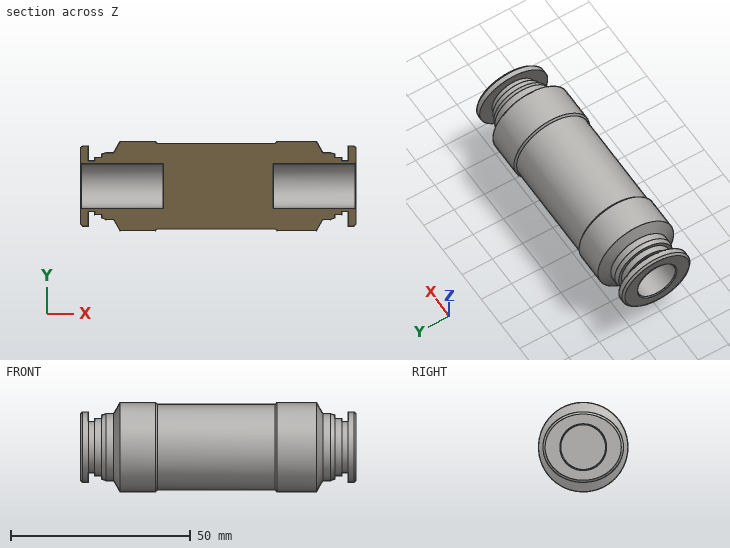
import cadquery as cq

length = 77.0

flange_thickness = 2.2
neck_end = 4.0
collar_end = 5.9
nose_chamfer_length = 1.3
nose_end = 9.3
shoulder_end = 11.1
cap_chamfer = 0.55
left_cap_end = 21.5
right_cap_end = 22.6

neck_radius = 7.15
collar_radius = 8.0
nose_tip_radius = 8.9
nose_radius = 9.4
cap_diameter = 25.0
cap_radius = cap_diameter / 2
barrel_radius = cap_radius - cap_chamfer

flange_half_width = 11.25
flange_half_height = 9.85
flange_chamfer = 0.6

socket_radius = 6.2
socket_depth = 23.1
socket_chamfer = 0.3


def end_profile(cap_end):
    """(distance from the end, radius) points from the neck to the barrel."""
    return [
        (flange_thickness, neck_radius),
        (neck_end, neck_radius),
        (neck_end, collar_radius),
        (collar_end, collar_radius),
        (collar_end, nose_tip_radius),
        (collar_end + nose_chamfer_length, nose_radius),
        (nose_end, nose_radius),
        (shoulder_end, cap_radius),
        (cap_end - cap_chamfer, cap_radius),
        (cap_end, barrel_radius),
    ]


def turned_body():
    """Revolve the stepped outline of both ends and the barrel about X."""
    half = length / 2
    left = [(d - half, r) for d, r in end_profile(left_cap_end)]
    right = [(half - d, r) for d, r in reversed(end_profile(right_cap_end))]
    axis_start = (flange_thickness - half, 0)
    axis_end = (half - flange_thickness, 0)
    outline = [axis_start, *left, *right, axis_end]
    return cq.Workplane("XY").polyline(outline).close().revolve(360, (0, 0, 0), (1, 0, 0))


def left_flange():
    """Oval plate at the -X end, chamfered around its outer face."""
    plate = (
        cq.Workplane("YZ", origin=(-length / 2, 0, 0))
        .ellipse(flange_half_width, flange_half_height)
        .extrude(flange_thickness)
    )
    return plate.faces("<X").chamfer(flange_chamfer)


def left_socket():
    """Cutter for the -X tube socket, with a chamfered mouth."""
    face = -length / 2
    mouth_radius = socket_radius + socket_chamfer
    outline = [
        (face, 0),
        (face, mouth_radius),
        (face + socket_chamfer, socket_radius),
        (face + socket_depth, socket_radius),
        (face + socket_depth, 0),
    ]
    return cq.Workplane("XY").polyline(outline).close().revolve(360, (0, 0, 0), (1, 0, 0))


flange = left_flange()
socket = left_socket()
result = turned_body().union(flange).union(flange.mirror("YZ"))
result = result.cut(socket).cut(socket.mirror("YZ"))